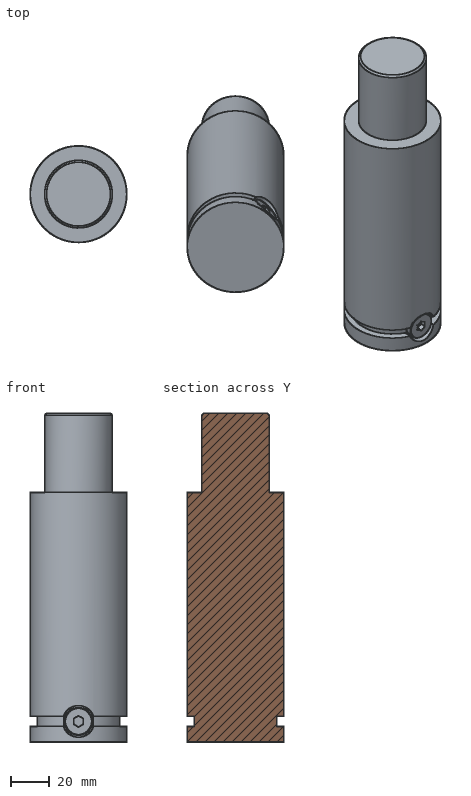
import cadquery as cq

total_height = 170.0
body_diameter = 50.0
body_height = 129.0
rod_diameter = 35.0
rod_chamfer = 1.0

groove_bottom = 8.2
groove_width = 5.1
groove_floor_diameter = 42.8

plug_height = groove_bottom + groove_width / 2
recess_diameter = 16.3
recess_floor = 20.0
plug_diameter = 14.3
plug_face = 23.3
plug_chamfer = 0.3
hex_across_corners = 5.8
hex_depth = 3.0


def make_body():
    return cq.Workplane("XY").circle(body_diameter / 2).extrude(body_height)


def make_rod():
    rod = cq.Workplane("XY").circle(rod_diameter / 2).extrude(total_height)
    return rod.faces(">Z").chamfer(rod_chamfer)


def make_groove():
    ring = cq.Workplane("XY", origin=(0, 0, groove_bottom))
    return ring.circle(body_diameter / 2).circle(groove_floor_diameter / 2).extrude(groove_width)


def plug_plane(distance):
    """Plane facing -Y at the given distance from the body axis."""
    return cq.Workplane("XZ", origin=(0, -distance, plug_height))


def make_recess():
    return plug_plane(recess_floor).circle(recess_diameter / 2).extrude(body_diameter / 2 - recess_floor)


def make_plug():
    plug = plug_plane(0).circle(plug_diameter / 2).extrude(plug_face)
    return plug.faces("<Y").chamfer(plug_chamfer)


def make_hex_socket():
    socket = plug_plane(plug_face - hex_depth)
    return socket.transformed(rotate=(0, 0, 90)).polygon(6, hex_across_corners).extrude(hex_depth)


result = make_body().union(make_rod())
result = result.cut(make_groove()).cut(make_recess())
result = result.union(make_plug()).cut(make_hex_socket())